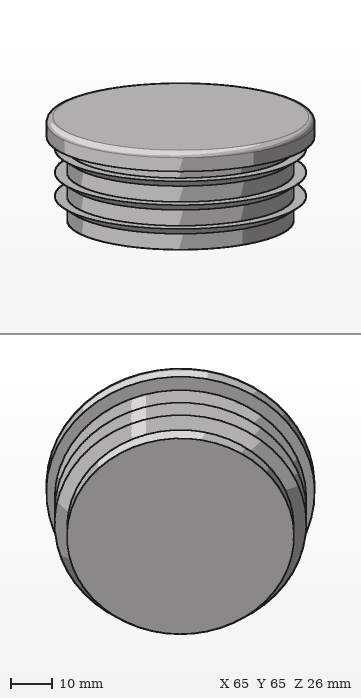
import cadquery as cq

cap_diameter = 65.0
cap_thickness = 5.0
cap_edge_radius = 1.5
total_height = 26.0
body_diameter = 55.0
fin_diameter = 61.0
fin_height = 2.0
fin_count = 3
fin_pitch = 6.0
first_fin_drop = 8.0

body_height = total_height - cap_thickness
body_radius = body_diameter / 2
fin_radius = fin_diameter / 2


def make_cap():
    """Disc with a rounded upper rim."""
    disc = cq.Workplane("XY").workplane(offset=body_height).circle(cap_diameter / 2).extrude(cap_thickness)
    return disc.faces(">Z").edges().fillet(cap_edge_radius)


def make_fin(top_z):
    """Solid cone frustum, flat on top and tapering down to the body."""
    profile = [
        (0, top_z),
        (fin_radius, top_z),
        (body_radius, top_z - fin_height),
        (0, top_z - fin_height),
    ]
    return cq.Workplane("XZ").polyline(profile).close().revolve(360, (0, 0, 0), (0, 1, 0))


body = cq.Workplane("XY").circle(body_radius).extrude(body_height)
result = body.union(make_cap())
for index in range(fin_count):
    result = result.union(make_fin(total_height - first_fin_drop - index * fin_pitch))